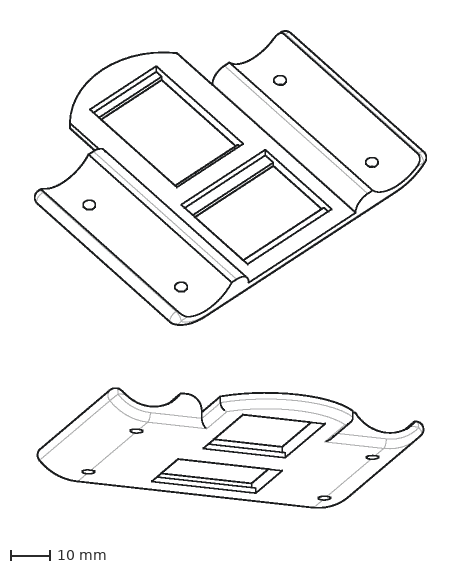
import cadquery as cq
import math

total_length = 78.2
total_width = 85.4
plate_thickness = 3.6
plate_half_width = 17.9
nose_length = 8.1
edge_radius = 2.0

wing_length = 56.1
wing_start = total_length - wing_length
wing_height = 8.0
ridge_radius = 4.0
trough_y = 31.95
trough_radius = 10.1
trough_center_z = plate_thickness + trough_radius
outer_radius = trough_radius + plate_thickness
lip_radius = 2.05

hole_diameter = 3.2
hole_spacing = 36.0
wing_middle = wing_start + wing_length / 2

ledge_thickness = 1.4
front_window = {"start": 8.0, "length": 34.1, "width": 22.2, "ledge": 2.1}
rear_window = {"start": 47.25, "length": 26.05, "width": 28.2, "ledge": 3.2}


def make_plate():
    return (
        cq.Workplane("XY")
        .moveTo(total_length, -plate_half_width)
        .lineTo(total_length, plate_half_width)
        .lineTo(nose_length, plate_half_width)
        .threePointArc((0, 0), (nose_length, -plate_half_width))
        .close()
        .extrude(plate_thickness)
    )


def trough_point(radius, angle):
    """Point (Y, Z) about the trough axis, with the angle measured outward from straight down."""
    return (trough_y + radius * math.sin(angle), trough_center_z - radius * math.cos(angle))


def make_wing():
    lip_z = wing_height - lip_radius
    lip_angle = math.acos((trough_center_z - lip_z) / (outer_radius - lip_radius))
    lip_y = trough_point(outer_radius - lip_radius, lip_angle)[0]
    crest_angle = math.acos((trough_center_z - wing_height) / trough_radius)
    ridge_y = plate_half_width + ridge_radius
    ridge_z = wing_height - ridge_radius
    ridge_middle = (
        ridge_y - ridge_radius * math.cos(math.pi / 4),
        ridge_z + ridge_radius * math.sin(math.pi / 4),
    )
    return (
        cq.Workplane("YZ", origin=(wing_start, 0, 0))
        .moveTo(plate_half_width, 0)
        .lineTo(trough_y, 0)
        .threePointArc(trough_point(outer_radius, lip_angle / 2), trough_point(outer_radius, lip_angle))
        .threePointArc((lip_y + lip_radius, lip_z), (lip_y, wing_height))
        .lineTo(*trough_point(trough_radius, crest_angle))
        .threePointArc(trough_point(trough_radius, 0), trough_point(trough_radius, -crest_angle))
        .lineTo(ridge_y, wing_height)
        .threePointArc(ridge_middle, (plate_half_width, ridge_z))
        .close()
        .extrude(wing_length)
    )


def cut_window(body, window):
    """Cut a pocket down to the ledges, then the opening between them."""
    middle = window["start"] + window["length"] / 2
    opening_length = window["length"] - 2 * window["ledge"]
    pocket = (
        cq.Workplane("XY", origin=(middle, 0, ledge_thickness))
        .rect(window["length"], window["width"])
        .extrude(plate_thickness)
    )
    opening = (
        cq.Workplane("XY", origin=(middle, 0, 0))
        .rect(opening_length, window["width"])
        .extrude(plate_thickness)
    )
    return body.cut(pocket).cut(opening)


def underside_rim(body):
    """Edges around the underside, with the outer arc and lip arc at each end of the wings."""
    tolerance = 0.001
    lip_limit_y = total_width / 2 - lip_radius
    rim = []
    for edge in body.edges().vals():
        box = edge.BoundingBox()
        outward = abs(edge.Center().y) - trough_y
        on_underside = box.zmax < tolerance
        on_wing_end = box.xlen < tolerance
        is_smooth_line = on_underside and outward > -tolerance
        is_outer_arc = on_wing_end and outward > 0 and box.zmin < tolerance
        is_lip_arc = on_wing_end and abs(edge.Center().y) > lip_limit_y and box.zlen > tolerance
        if (on_underside and not is_smooth_line) or is_outer_arc or is_lip_arc:
            rim.append(edge)
    return rim


wing = make_wing()
body = make_plate().union(wing).union(wing.mirror("XZ")).clean()

body = body.newObject(underside_rim(body)).fillet(edge_radius)

body = body.cut(
    cq.Workplane("XY", origin=(wing_middle, 0, 0))
    .rect(hole_spacing, 2 * trough_y, forConstruction=True)
    .vertices()
    .circle(hole_diameter / 2)
    .extrude(wing_height)
)

for window in (front_window, rear_window):
    body = cut_window(body, window)

result = body